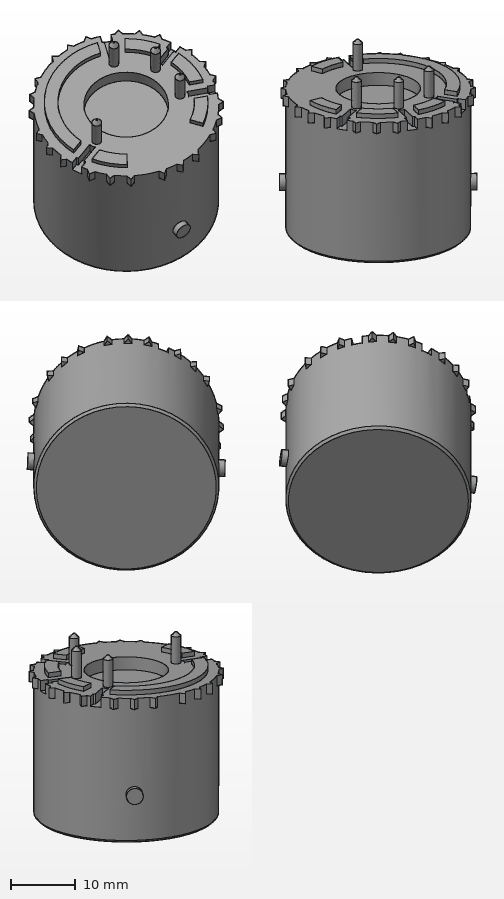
import cadquery as cq
import math

body_diameter = 28.5
body_height = 23.4
bottom_chamfer = 0.4
body_radius = body_diameter / 2

recess_diameter = 13.0
recess_depth = 2.1

pin_diameter = 1.5
pin_circle_radius = 8.5
pin_top = 28.39
pin_tip_chamfer = 0.62
pad_diameter = 2.6
pin_angles = (45, 90, 135, 270)

slot_depth = 1.65
slot_inner_width = 1.0
slot_outer_width = 1.66
slot_step_radius = 13.0

tooth_height = slot_depth
tooth_tip_radius = 14.98
tooth_base_width = 1.2
tooth_pitch = 12.5
tooth_group_angles = (22.2, 67.3, 114.3, 159.2, 204.3, 247.3, 292.5, 338.0)

arc_outer_radius = 12.6
arc_inner_radius = 10.5
arc_height = 0.75
arc_slot_clearance = 1.68

arc_pads = (
    ((12, 0), (45, -1)),
    ((45, 1), (90, -1)),
    ((90, 1), (123, 0)),
    ((135, 1), (270, -1)),
    ((270, 1), (303, 0)),
)

peg_diameter = 2.6
peg_end_radius = 15.2
peg_height = 7.8
peg_angles = (159.3, 337.7)


def polar(radius, angle):
    return (radius * math.cos(math.radians(angle)), radius * math.sin(math.radians(angle)))


def make_body():
    return cq.Workplane("XY").circle(body_radius).extrude(body_height).faces("<Z").chamfer(bottom_chamfer)


def make_tooth(angle):
    """Radial wedge whose root is sunk into the body."""
    root_radius = slot_step_radius
    half_base = tooth_base_width / 2
    outline = [
        (root_radius, -half_base),
        (body_radius, -half_base),
        (tooth_tip_radius, 0),
        (body_radius, half_base),
        (root_radius, half_base),
    ]
    tooth = cq.Workplane("XY", origin=(0, 0, body_height - tooth_height)).polyline(outline).close()
    return tooth.extrude(tooth_height).rotate((0, 0, 0), (0, 0, 1), angle)


def make_channel(start_radius, end_radius, width):
    """Straight channel along +X, open at the top face."""
    length = end_radius - start_radius
    floor = cq.Workplane("XY", origin=(start_radius + length / 2, 0, body_height - slot_depth))
    return floor.rect(length, width).extrude(slot_depth)


def make_slot(angle):
    """Narrow channel from the pin centre that widens near the rim."""
    inner = make_channel(pin_circle_radius, slot_step_radius, slot_inner_width)
    outer = make_channel(slot_step_radius, tooth_tip_radius, slot_outer_width)
    return inner.union(outer).rotate((0, 0, 0), (0, 0, 1), angle)


def make_pin(angle):
    """Pin with a conical tip, on a pad that closes the inner end of its slot."""
    x, y = polar(pin_circle_radius, angle)
    base = cq.Workplane("XY", origin=(x, y, body_height - slot_depth))
    pad = base.circle(pad_diameter / 2).extrude(slot_depth)
    pin = base.circle(pin_diameter / 2).extrude(pin_top - body_height + slot_depth)
    return pad.union(pin.faces(">Z").chamfer(pin_tip_chamfer))


def arc_end(angle, side):
    """Polar angles of the inner and outer corners of an arc pad end."""
    corner_angles = []
    for radius in (arc_inner_radius, arc_outer_radius):
        turn = math.degrees(math.asin(arc_slot_clearance / radius))
        corner_angles.append(angle + side * turn)
    return corner_angles


def make_arc_pad(start, end):
    """Arc pad running counterclockwise from start to end, each an (angle, side) pair."""
    start_inner, start_outer = arc_end(*start)
    end_inner, end_outer = arc_end(*end)
    outline = (
        cq.Workplane("XY", origin=(0, 0, body_height))
        .moveTo(*polar(arc_inner_radius, start_inner))
        .lineTo(*polar(arc_outer_radius, start_outer))
        .threePointArc(
            polar(arc_outer_radius, (start_outer + end_outer) / 2),
            polar(arc_outer_radius, end_outer),
        )
        .lineTo(*polar(arc_inner_radius, end_inner))
        .threePointArc(
            polar(arc_inner_radius, (start_inner + end_inner) / 2),
            polar(arc_inner_radius, start_inner),
        )
        .close()
    )
    return outline.extrude(arc_height)


def make_peg(angle):
    peg = cq.Workplane("YZ").center(0, peg_height).circle(peg_diameter / 2).extrude(peg_end_radius)
    return peg.rotate((0, 0, 0), (0, 0, 1), angle)


result = make_body()

for group_angle in tooth_group_angles:
    for step in (-1, 0, 1):
        result = result.union(make_tooth(group_angle + step * tooth_pitch))

for peg_angle in peg_angles:
    result = result.union(make_peg(peg_angle))

recess_floor = cq.Workplane("XY", origin=(0, 0, body_height - recess_depth))
result = result.cut(recess_floor.circle(recess_diameter / 2).extrude(recess_depth))

for pin_angle in pin_angles:
    result = result.cut(make_slot(pin_angle)).union(make_pin(pin_angle))

for start, end in arc_pads:
    result = result.union(make_arc_pad(start, end))